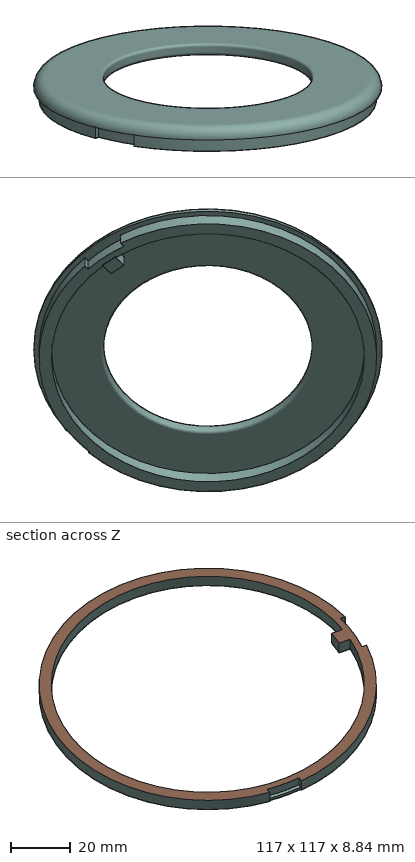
import cadquery as cq
import math

rim_radius = 58.5
plate_thickness = 4.0
hole_radius = 35.0
hole_edge_fillet = 1.0

skirt_outer_radius = 56.7
skirt_inner_radius = 52.5
skirt_height = 4.6

front_recess_width = 15.4
recess_floor_radius = 55.0
side_recess_width = 11.9
side_ledge_radius = 56.3
side_ledge_height = 1.1

pad_width = 5.6
pad_inner_y = -48.3
pad_outer_y = -52.8
pad_projection = 0.24


def ring(outer_radius, inner_radius, bottom_z, height):
    """Flat ring centred on the Z axis."""
    return (
        cq.Workplane("XY")
        .workplane(offset=bottom_z)
        .circle(outer_radius)
        .circle(inner_radius)
        .extrude(height)
    )


def cover_plate():
    """Annular disc with a quarter-round rim and the hole rounded at its top and bottom edges."""
    rim_flat_radius = rim_radius - plate_thickness
    rim_round_offset = plate_thickness * math.sqrt(0.5)
    section = (
        cq.Workplane("XZ")
        .moveTo(hole_radius, 0)
        .lineTo(rim_radius, 0)
        .threePointArc(
            (rim_flat_radius + rim_round_offset, rim_round_offset),
            (rim_flat_radius, plate_thickness),
        )
        .lineTo(hole_radius, plate_thickness)
        .close()
    )
    disc = section.revolve(360, (0, 0, 0), (0, 1, 0))
    hole_edges = disc.faces("%CYLINDER").edges("%CIRCLE")
    return hole_edges.fillet(hole_edge_fillet)


def recess_cutter(direction, width, floor_radius, bottom_z):
    """Straight-sided slot with a curved floor, open outward along the unit direction (x, y)."""
    along_x, along_y = direction
    reach = rim_radius
    size_x = reach if along_x else width
    size_y = reach if along_y else width
    slot = (
        cq.Workplane("XY")
        .workplane(offset=bottom_z)
        .center(along_x * reach / 2, along_y * reach / 2)
        .rect(size_x, size_y)
        .extrude(-bottom_z)
    )
    return slot.intersect(ring(rim_radius, floor_radius, bottom_z, -bottom_z))


def skirt():
    """Ring with a full-height recess on -Y and a stepped recess on -X."""
    body = ring(skirt_outer_radius, skirt_inner_radius, -skirt_height, skirt_height)
    ledge_top_z = side_ledge_height - skirt_height
    body = body.cut(recess_cutter((0, -1), front_recess_width, recess_floor_radius, -skirt_height))
    body = body.cut(recess_cutter((-1, 0), side_recess_width, recess_floor_radius, ledge_top_z))
    return body.cut(recess_cutter((-1, 0), side_recess_width, side_ledge_radius, -skirt_height))


def locating_pad():
    """Rectangular block under the plate, joined to the skirt."""
    depth = pad_inner_y - pad_outer_y
    height = skirt_height + pad_projection
    return (
        cq.Workplane("XY")
        .center(0, (pad_inner_y + pad_outer_y) / 2)
        .rect(pad_width, depth)
        .extrude(-height)
    )


result = cover_plate().union(skirt()).union(locating_pad())